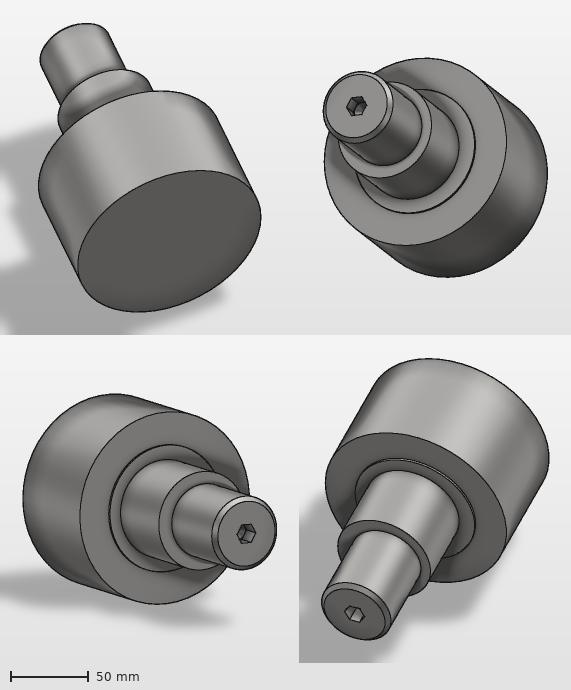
import cadquery as cq
import math

total_length = 181.0
roller_diameter = 125.0
roller_width = 74.4
washer_diameter = 82.5
washer_thickness = 1.6
sleeve_diameter = 64.0
sleeve_length = 50.0
sleeve_eccentricity = 1.5
stud_diameter = 48.0
stud_chamfer = 2.9

socket_across_flats = 12.0
socket_depth = 12.0
drill_point_angle = 118.0

roller_start = total_length - roller_width
washer_start = roller_start - washer_thickness
sleeve_start = washer_start - sleeve_length


def cylinder(start, end, diameter, y_offset=0.0):
    """Cylinder parallel to X between two X positions."""
    return (
        cq.Workplane("YZ", origin=(start, y_offset, 0))
        .circle(diameter / 2)
        .extrude(end - start)
    )


def hex_socket():
    """Hexagonal recess with corners along Y and a conical bottom."""
    across_corners = socket_across_flats / math.cos(math.radians(30))
    hexagon = cq.Workplane("YZ").polygon(6, across_corners).extrude(socket_depth)
    cone_radius = socket_across_flats / 2
    cone_height = cone_radius / math.tan(math.radians(drill_point_angle / 2))
    drill_point = cq.Workplane(
        cq.Solid.makeCone(
            cone_radius, 0, cone_height,
            pnt=cq.Vector(socket_depth, 0, 0), dir=cq.Vector(1, 0, 0),
        )
    )
    return hexagon.union(drill_point)


stud = cylinder(0, roller_start, stud_diameter).faces("<X").chamfer(stud_chamfer)
sleeve = cylinder(sleeve_start, roller_start, sleeve_diameter, sleeve_eccentricity)
washer = cylinder(washer_start, roller_start, washer_diameter)
roller = cylinder(roller_start, total_length, roller_diameter)

result = roller.union(washer).union(sleeve).union(stud).cut(hex_socket())